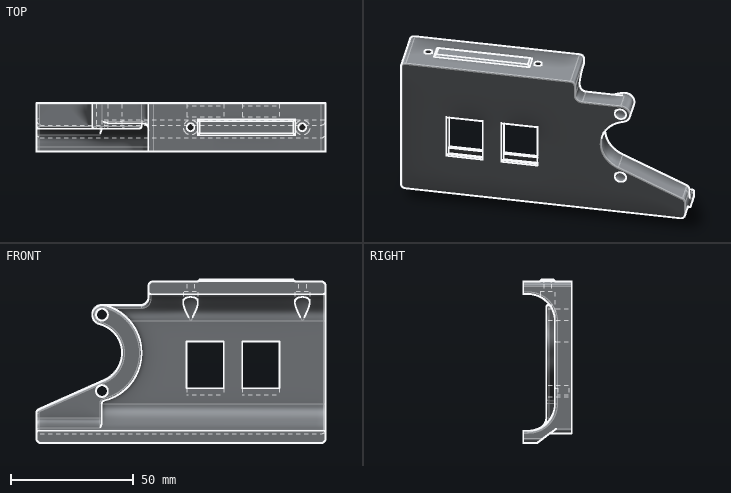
import cadquery as cq
import math

length = 118.0
depth = 20.0
strip_height = 0.8
top_z = 66.0
flange_start_x = 45.7
back_bottom_z = 3.9
rail_bottom_depth = 5.7
relief_slope = 0.75

channel_radius = 11.0
channel_floor_z = 5.1
channel_roof_z = 60.8
lip_depth = 2.0
plate_face_y = lip_depth + channel_radius
lower_center_z = channel_floor_z + channel_radius
upper_center_z = channel_roof_z - channel_radius

notch_x = 22.9
notch_z = 36.8
notch_radius = 12.0
pad_outer_radius = 20.1
boss_radius = (pad_outer_radius - notch_radius) / 2
pin_circle_radius = (pad_outer_radius + notch_radius) / 2
pin_hole_x = 26.8
pin_hole_diameter = 4.7
pin_offset_z = math.sqrt(pin_circle_radius**2 - (pin_hole_x - notch_x)**2)
boss_z = notch_z + pin_offset_z
arm_top_z = boss_z + boss_radius
toe_slope = math.radians(24)
pad_face_y = 9.4
pad_back_y = 16.5
pad_back_z = 8.8
pad_keel_z = 2.2
pad_blend_z = 10.4
pad_corner_radius = 1.1

corner_radius = 2.0
flange_root_radius = 3.0
front_edge_radius = 1.0
back_edge_radius = 0.4

window_width = 15.1
window_height = 19.0
window_bottom_z = 22.4
window_left_xs = (61.2, 84.0)
front_sill_depth = 1.2
groove_front_y = plate_face_y + front_sill_depth
groove_width = 4.5
groove_depth = 2.6

screw_xs = (62.9, 108.5)
screw_diameter = 3.2
screw_head_diameter = 6.0
screw_head_seat_depth = 4.0
screw_head_seat_z = top_z - screw_head_seat_depth
strip_length = 39.6
strip_width = 6.4
strip_side_taper = 45
center_y = depth / 2
strip_center_x = sum(screw_xs) / 2

pad_step = plate_face_y - pad_face_y
blend_drop = lower_center_z - pad_blend_z
pad_blend_radius = channel_radius - (pad_step**2 + blend_drop**2) / (2 * pad_step)


def notch_point(radius, angle):
    """Point (X, Z) around the notch center, angle measured from +X."""
    return (notch_x + radius * math.cos(angle), notch_z + radius * math.sin(angle))


pin_angle = math.atan2(pin_offset_z, pin_hole_x - notch_x)
toe_end = notch_point(notch_radius, toe_slope - math.pi / 2)
toe_tip = (0, toe_end[1] - toe_end[0] * math.tan(toe_slope))
boss_inner = notch_point(notch_radius, pin_angle)
boss_outer = notch_point(pad_outer_radius, pin_angle)
boss_left = (pin_hole_x - boss_radius, boss_z)


def start_left_outline(bottom_z):
    """Outline from the bottom left, up the toe and around the notch to the boss."""
    return (
        cq.Workplane("XZ")
        .moveTo(0, bottom_z)
        .lineTo(*toe_tip)
        .lineTo(*toe_end)
        .threePointArc(notch_point(notch_radius, 0), boss_inner)
    )


def extrude_back(outline, distance):
    return outline.close().extrude(-distance)


def prism_along_x(section):
    """Extrude a closed (Y, Z) section over the whole length."""
    return section.close().extrude(length)


def fillet_near(solid, points, radius):
    """Fillet the edge nearest each point."""
    for point in points:
        solid = solid.edges(cq.selectors.NearestToPointSelector(point)).fillet(radius)
    return solid


def make_profile_prism(bottom_z):
    """Full-depth block with the side outline, ending at the given underside."""
    outline = (
        start_left_outline(bottom_z)
        .threePointArc(boss_left, (pin_hole_x, arm_top_z))
        .lineTo(flange_start_x, arm_top_z)
        .lineTo(flange_start_x, top_z)
        .lineTo(length, top_z)
        .lineTo(length, bottom_z)
    )
    corners = [
        (0, bottom_z), toe_tip, (flange_start_x, top_z), (length, top_z), (length, bottom_z),
    ]
    block = extrude_back(outline, depth)
    block = fillet_near(block, [(x, center_y, z) for x, z in corners], corner_radius)
    return fillet_near(block, [(flange_start_x, center_y, arm_top_z)], flange_root_radius)


def make_blank():
    """Plate block joined to the lower rail, which ramps up behind into the plate."""
    rail_section = (
        cq.Workplane("YZ")
        .lineTo(rail_bottom_depth, 0)
        .lineTo(depth, (depth - rail_bottom_depth) * relief_slope)
        .lineTo(depth, top_z)
        .lineTo(0, top_z)
    )
    rail = make_profile_prism(0).intersect(prism_along_x(rail_section))
    return make_profile_prism(back_bottom_z).union(rail).clean()


def make_channel():
    diagonal = channel_radius * math.sqrt(0.5)
    section = (
        cq.Workplane("YZ")
        .moveTo(0, channel_floor_z)
        .lineTo(lip_depth, channel_floor_z)
        .threePointArc((lip_depth + diagonal, lower_center_z - diagonal), (plate_face_y, lower_center_z))
        .lineTo(plate_face_y, upper_center_z)
        .threePointArc((lip_depth + diagonal, upper_center_z + diagonal), (lip_depth, channel_roof_z))
        .lineTo(0, channel_roof_z)
    )
    return prism_along_x(section)


def make_pad():
    """Raised crescent and toe, blending tangentially into the lower channel curve."""
    wall_top_z = notch_z - math.sqrt(pad_outer_radius**2 - (pin_hole_x - notch_x)**2)
    outline = (
        start_left_outline(0)
        .threePointArc(boss_left, boss_outer)
        .threePointArc(notch_point(pad_outer_radius, 0), (pin_hole_x, wall_top_z))
        .lineTo(pin_hole_x, 0)
    )
    block = extrude_back(outline, depth)
    block = fillet_near(block, [(toe_tip[0], center_y, toe_tip[1])], corner_radius)
    block = fillet_near(block, [(pin_hole_x, center_y, wall_top_z)], pad_corner_radius)

    blend_y = pad_face_y - pad_blend_radius
    tangent_angle = math.atan2(pad_blend_z - lower_center_z, blend_y - lip_depth)

    def blend_point(angle):
        return (
            blend_y + pad_blend_radius * math.cos(angle),
            pad_blend_z + pad_blend_radius * math.sin(angle),
        )

    blend_end = blend_point(tangent_angle)
    root_length = 2.4
    root = (
        blend_end[0] + root_length * math.sin(tangent_angle),
        blend_end[1] - root_length * math.cos(tangent_angle),
    )
    section = (
        cq.Workplane("YZ")
        .moveTo(pad_face_y, top_z)
        .lineTo(pad_face_y, pad_blend_z)
        .threePointArc(blend_point(tangent_angle / 2), blend_end)
        .lineTo(*root)
        .lineTo(root[0], pad_keel_z)
        .lineTo(pad_back_y, pad_back_z)
        .lineTo(pad_back_y, top_z)
    )
    pad = block.intersect(prism_along_x(section))
    pad_rim = (notch_x + notch_radius, pad_face_y, notch_z)
    return fillet_near(pad, [pad_rim], front_edge_radius)


def make_body():
    body = make_blank().cut(make_channel())
    rim_starts = [
        (length, plate_face_y, notch_z),
        (notch_x + notch_radius, plate_face_y, notch_z),
    ]
    body = fillet_near(body, rim_starts, front_edge_radius)
    body = body.faces(">Y").edges().fillet(back_edge_radius)
    return body.union(make_pad())


def cut_pin_holes(body):
    holes = (
        cq.Workplane("XZ")
        .pushPoints([(pin_hole_x, notch_z + side * pin_offset_z) for side in (-1, 1)])
        .circle(pin_hole_diameter / 2)
        .extrude(-depth)
    )
    return body.cut(holes)


def cut_windows(body):
    for left_x in window_left_xs:
        opening = cq.Workplane("XY").box(window_width, depth, window_height, centered=False)
        groove = cq.Workplane("XY").box(window_width, groove_width, groove_depth, centered=False)
        body = body.cut(opening.translate((left_x, 0, window_bottom_z)))
        body = body.cut(groove.translate((left_x, groove_front_y, window_bottom_z - groove_depth)))
    return body


def cut_screw_holes(body):
    for x in screw_xs:
        seat = cq.Workplane("XY", origin=(x, center_y, screw_head_seat_z))
        body = body.cut(seat.circle(screw_diameter / 2).extrude(screw_head_seat_depth))
        body = body.cut(seat.circle(screw_head_diameter / 2).extrude(upper_center_z - screw_head_seat_z))
    return body


def make_strip():
    return (
        cq.Workplane("XY", origin=(strip_center_x, center_y, top_z))
        .rect(strip_length, strip_width)
        .extrude(strip_height, taper=strip_side_taper)
    )


result = make_body()
result = cut_pin_holes(result)
result = cut_windows(result)
result = cut_screw_holes(result)
result = result.union(make_strip())